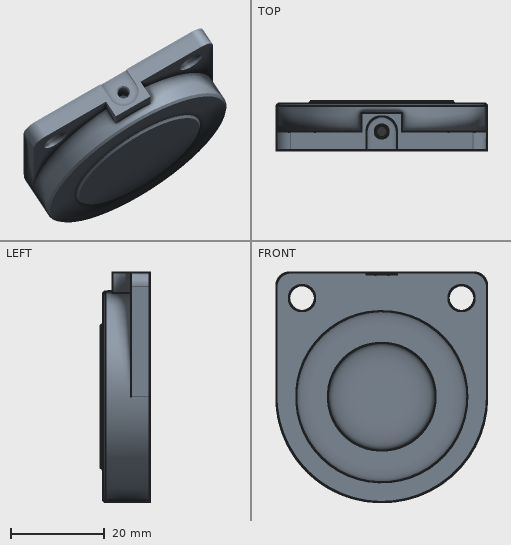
import cadquery as cq

overall_height = 49.0
disc_diameter = 45.0
disc_radius = disc_diameter / 2
top_z = overall_height - disc_radius
disc_thickness = 10.0
disc_chamfer = 0.5
flange_thickness = 4.0
flange_corner_radius = 3.0

pad_diameter = 31.0
pad_height = 0.5
pad_chamfer = 0.45

mount_hole_diameter = 5.5
mount_hole_inset = 5.5
mount_hole_x = disc_radius - mount_hole_inset
mount_hole_z = top_z - mount_hole_inset

block_width = 8.6
block_depth = 8.0
slot_width = 6.45
slot_depth = 0.5
port_y = flange_thickness
port_diameter = 2.45
port_chamfer = 0.25
port_depth = 4.9

ring_outer_diameter = 36.5
ring_inner_diameter = 23.0
ring_setback = 1.05
ring_thickness = 2.55
recess_depth = ring_setback + ring_thickness


def y_cylinder(diameter, start_y, length, x=0.0, z=0.0):
    """Cylinder along +Y that begins at start_y."""
    plane = cq.Plane(origin=(x, start_y, z), xDir=(1, 0, 0), normal=(0, 1, 0))
    return cq.Workplane(plane).circle(diameter / 2).extrude(length)


def z_plane(z):
    """Workplane facing up at height z, centred on the port axis."""
    return cq.Workplane("XY", origin=(0, port_y, z))


def make_flange():
    """Square-topped plate with rounded corners and a half-round lower edge."""
    outline = (
        cq.Workplane("XZ")
        .moveTo(-disc_radius, 0)
        .lineTo(-disc_radius, top_z)
        .lineTo(disc_radius, top_z)
        .lineTo(disc_radius, 0)
        .threePointArc((0, -disc_radius), (-disc_radius, 0))
        .close()
    )
    flange = outline.extrude(-flange_thickness)
    return flange.edges("|Y and >Z").fillet(flange_corner_radius)


def make_disc():
    """Round body with its chamfered rear pad."""
    disc = y_cylinder(disc_diameter, 0, disc_thickness).faces(">Y").chamfer(disc_chamfer)
    pad = y_cylinder(pad_diameter, disc_thickness, pad_height).faces(">Y").chamfer(pad_chamfer)
    return disc.union(pad)


def make_port_block():
    """Block from the disc axis to the top edge; its lower part lies inside the disc."""
    return cq.Workplane("XY").box(block_width, block_depth, top_z, centered=(True, False, False))


def make_port_slot():
    """Shallow round-ended slot in the top edge, open at the front face."""
    floor_z = top_z - slot_depth
    round_end = z_plane(floor_z).circle(slot_width / 2).extrude(slot_depth)
    open_end = z_plane(floor_z).center(0, -port_y / 2).rect(slot_width, port_y).extrude(slot_depth)
    return round_end.union(open_end)


def make_port_hole():
    """Blind hole down from the slot floor, with a chamfered mouth."""
    floor_z = top_z - slot_depth
    port_radius = port_diameter / 2
    bore = z_plane(floor_z).circle(port_radius).extrude(-port_depth)
    mouth = (
        z_plane(floor_z)
        .circle(port_radius + port_chamfer)
        .workplane(offset=-port_chamfer)
        .circle(port_radius)
        .loft()
    )
    return bore.union(mouth)


def make_housing():
    """Flanged disc with mounting holes, port and ring recess."""
    body = make_flange().union(make_disc()).union(make_port_block())
    for x in (-mount_hole_x, mount_hole_x):
        body = body.cut(y_cylinder(mount_hole_diameter, 0, flange_thickness, x, mount_hole_z))
    body = body.cut(make_port_slot()).cut(make_port_hole())
    return body.cut(y_cylinder(ring_outer_diameter, 0, recess_depth))


def make_ring():
    """Flat ring resting on the floor of the housing recess."""
    ring = y_cylinder(ring_outer_diameter, ring_setback, ring_thickness)
    return ring.cut(y_cylinder(ring_inner_diameter, ring_setback, ring_thickness))


housing = make_housing()
ring = make_ring()
result = cq.Compound.makeCompound([housing.solids().val(), ring.solids().val()])